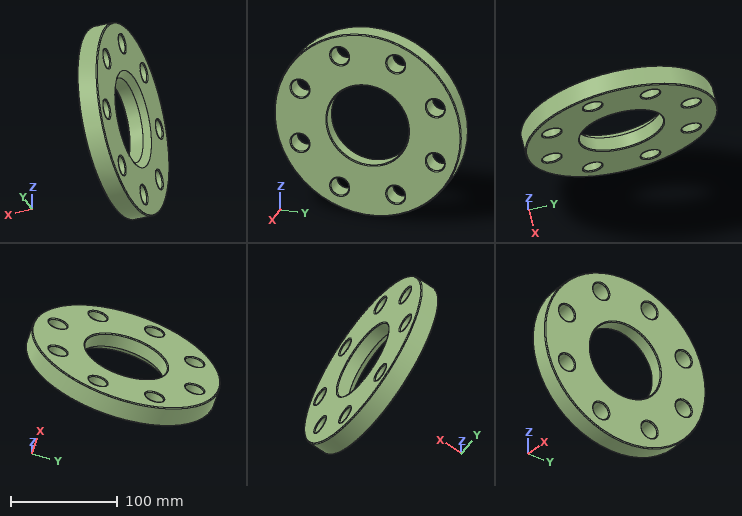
import cadquery as cq

outer_diameter = 185.0
thickness = 20.0
rim_chamfer = 1.0

bore_diameter = 81.0
bore_mouth_diameter = 93.0
bore_mouth_depth = (bore_mouth_diameter - bore_diameter) / 2
bore_back_chamfer = 1.0

bolt_hole_diameter = 18.0
bolt_hole_chamfer = 1.0
bolt_circle_diameter = 145.0
bolt_count = 8

front_x = -thickness / 2
back_x = thickness / 2


def disc():
    """Plain disc with both rim edges chamfered."""
    blank = cq.Workplane("YZ", origin=(front_x, 0, 0)).circle(outer_diameter / 2).extrude(thickness)
    return blank.edges().chamfer(rim_chamfer)


def bore_cutter():
    """Straight bore, its conical mouth and its back chamfer, as one revolved profile."""
    bore_radius = bore_diameter / 2
    profile = [
        (front_x, 0),
        (front_x, bore_mouth_diameter / 2),
        (front_x + bore_mouth_depth, bore_radius),
        (back_x - bore_back_chamfer, bore_radius),
        (back_x, bore_radius + bore_back_chamfer),
        (back_x, 0),
    ]
    return cq.Workplane("XY").polyline(profile).close().revolve(360, (0, 0), (1, 0))


def bolt_hole_cutters():
    """Ring of through holes, each chamfered at both ends."""
    hole_radius = bolt_hole_diameter / 2
    mouth_radius = hole_radius + bolt_hole_chamfer
    profile = [
        (front_x, 0),
        (front_x, mouth_radius),
        (front_x + bolt_hole_chamfer, hole_radius),
        (back_x - bolt_hole_chamfer, hole_radius),
        (back_x, mouth_radius),
        (back_x, 0),
    ]
    hole = cq.Workplane("XY").polyline(profile).close().revolve(360, (0, 0), (1, 0))
    hole = hole.translate((0, 0, bolt_circle_diameter / 2))
    pitch_angle = 360 / bolt_count
    return [
        hole.rotate((0, 0, 0), (1, 0, 0), (index + 0.5) * pitch_angle)
        for index in range(bolt_count)
    ]


result = disc().cut(bore_cutter())
for bolt_hole in bolt_hole_cutters():
    result = result.cut(bolt_hole)